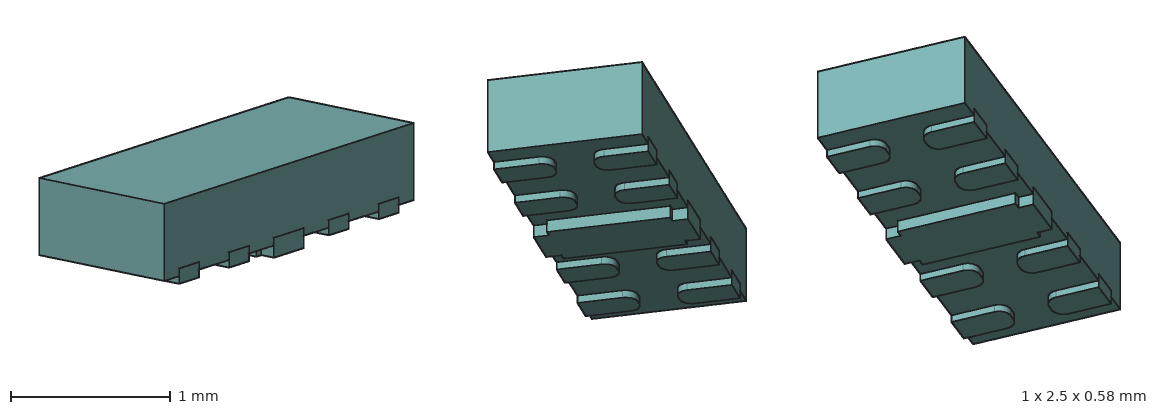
import cadquery as cq

BODY_WIDTH = 1.0
BODY_LENGTH = 2.5
BODY_HEIGHT = 0.5

PAD_WIDTH = 0.2
PAD_LENGTH = 0.37
PAD_CORNER_RADIUS = 0.08
PAD_PITCH = 0.5
PAD_DROP = 0.05

CENTER_WIDTH = 0.4
CENTER_LENGTH = 0.8
TONGUE_WIDTH = 0.3
CENTER_DROP = 0.08

PAD_EMBED = 0.05
PAD_ROWS = [row * PAD_PITCH for row in (-2, -1, 1, 2)]
SIDES = (-1, 1)


def block(size_x, size_y, bottom, top):
    """Box centred on the Z axis between two heights."""
    return cq.Workplane("XY", origin=(0, 0, bottom)).rect(size_x, size_y).extrude(top - bottom)


def make_signal_pad(side, y):
    """Pad flush with one long side, its two inner corners rounded."""
    pad_center_x = side * (BODY_WIDTH - PAD_LENGTH) / 2
    inner_edges = "|Z and <X" if side > 0 else "|Z and >X"
    pad = block(PAD_LENGTH, PAD_WIDTH, -PAD_DROP, PAD_EMBED)
    return pad.edges(inner_edges).fillet(PAD_CORNER_RADIUS).translate((pad_center_x, y, 0))


def make_center_pad():
    """Ground pad spanning the full housing width."""
    middle = block(CENTER_LENGTH, CENTER_WIDTH, -CENTER_DROP, PAD_EMBED)
    tongues = block(BODY_WIDTH, TONGUE_WIDTH, -CENTER_DROP, PAD_EMBED)
    return middle.union(tongues)


def make_housing(pads):
    """Block with a matching recess for every pad."""
    housing = block(BODY_WIDTH, BODY_LENGTH, 0, BODY_HEIGHT)
    for pad in pads:
        housing = housing.cut(pad)
    return housing


signal_pads = [make_signal_pad(side, y) for side in SIDES for y in PAD_ROWS]
center_pad = make_center_pad()
housing = make_housing([*signal_pads, center_pad])

result = cq.Compound.makeCompound([
    housing.val(),
    center_pad.val(),
    *[pad.val() for pad in signal_pads],
])